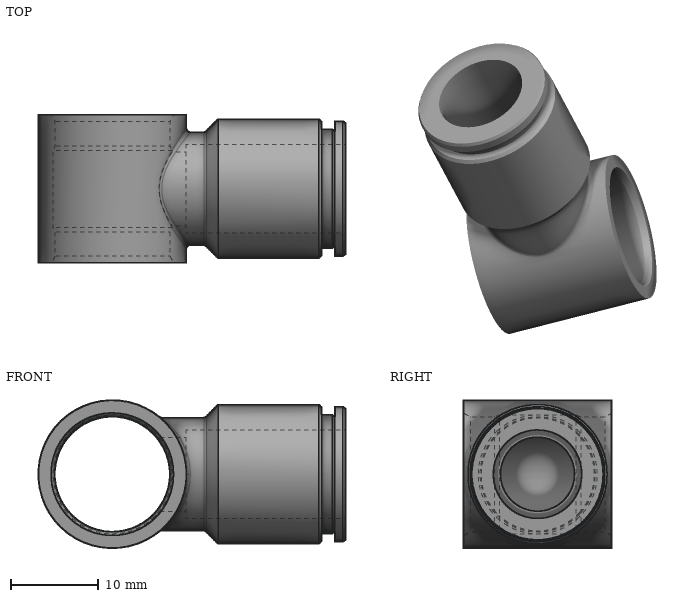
import cadquery as cq

ring_diameter = 17.0
ring_width = 17.0
ring_radius = ring_diameter / 2
mouth_diameter = 14.1
mouth_depth = 0.78
land_diameter = 13.2
relief_diameter = 13.65
relief_width = 9.9
relief_taper = 0.53

overall_length = 35.3
socket_end = overall_length - ring_radius
neck_radius = 13.0 / 2
body_radius = 16.0 / 2
stem_radius = 13.65 / 2
flange_radius = 15.5 / 2
flange_width = 1.25
stem_length = 1.52
body_length = 11.9
shoulder_length = 1.5
edge_length = 0.32
edge_drop = 0.2
neck_blend = 0.42
selection_margin = 0.05

passage_diameter = 8.5
tube_diameter = 10.15
tube_depth = 18.35

flange_start = socket_end - flange_width
stem_start = flange_start - stem_length
body_start = stem_start - body_length
shoulder_start = body_start - shoulder_length


def y_cylinder(diameter, length):
    """Cylinder on the Y axis, centred on the origin."""
    return cq.Workplane("XZ").circle(diameter / 2).extrude(length / 2, both=True)


def x_cylinder(diameter, start, end):
    """Cylinder on the X axis between two positions."""
    return cq.Workplane("YZ").workplane(offset=start).circle(diameter / 2).extrude(end - start)


def make_socket():
    """Neck, shoulder, body, stem and flange as one turned profile."""
    profile = [
        (0, 0),
        (0, neck_radius),
        (shoulder_start, neck_radius),
        (body_start, body_radius),
        (stem_start - edge_length, body_radius),
        (stem_start, body_radius - edge_length),
        (stem_start, stem_radius),
        (flange_start - edge_length, stem_radius),
        (flange_start, stem_radius - edge_drop),
        (flange_start, flange_radius),
        (socket_end - edge_length, flange_radius),
        (socket_end, flange_radius - edge_drop),
        (socket_end, 0),
    ]
    return cq.Workplane("XY").polyline(profile).close().revolve(360, (0, 0, 0), (1, 0, 0))


def make_ring_bore():
    """Turned cutter: chamfered mouths, a land at each end and a wider middle."""
    end = ring_width / 2
    half_relief = relief_width / 2
    profile = [
        (0, -end),
        (mouth_diameter / 2, -end),
        (land_diameter / 2, mouth_depth - end),
        (land_diameter / 2, -half_relief),
        (relief_diameter / 2, relief_taper - half_relief),
        (relief_diameter / 2, half_relief - relief_taper),
        (land_diameter / 2, half_relief),
        (land_diameter / 2, end - mouth_depth),
        (mouth_diameter / 2, end),
        (0, end),
    ]
    return cq.Workplane("XY").polyline(profile).close().revolve(360, (0, 0, 0), (0, 1, 0))


def blend_neck(body):
    """Round the inside corners where the neck meets the ring and the shoulder."""
    reach = neck_radius + selection_margin
    around_neck = cq.selectors.BoxSelector(
        (0, -reach, -reach),
        (shoulder_start + selection_margin, reach, reach),
        boundingbox=True,
    )
    return body.edges(around_neck).edges("not |X").fillet(neck_blend)


outside = blend_neck(y_cylinder(ring_diameter, ring_width).union(make_socket()))
passage = x_cylinder(passage_diameter, 0, socket_end)
tube_bore = x_cylinder(tube_diameter, socket_end - tube_depth, socket_end)
result = outside.cut(make_ring_bore()).cut(passage).cut(tube_bore)